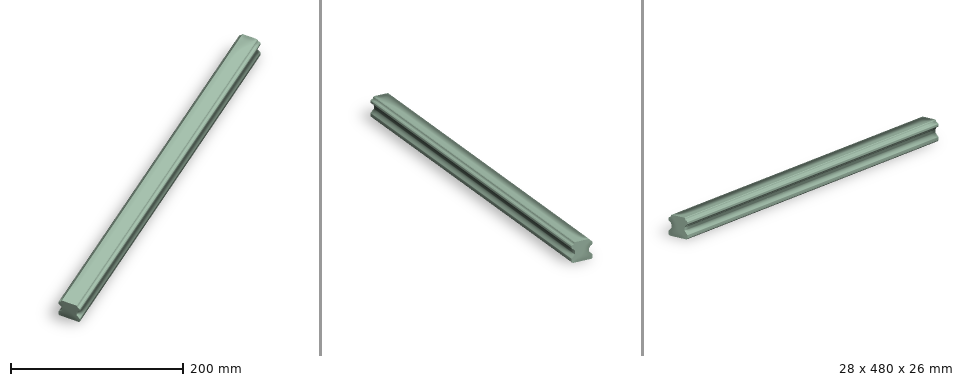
import cadquery as cq
import math

length = 480.0
width = 28.0
height = 26.0
half_width = width / 2

slope_size = 4.55
inner_half_width = half_width - slope_size

bottom_chamfer = 1.5
neck_bottom = 10.0
foot_side_top = neck_bottom - slope_size

head_side_bottom = 18.5
head_side_top = height - slope_size
neck_top = head_side_bottom - slope_size

corner_radius = 0.7

groove_radius = 3.05
groove_inset = 1.25
groove_span = 2.6
groove_half_chord = groove_span / math.sqrt(2)
groove_depth = groove_radius - math.sqrt(groove_radius**2 - groove_half_chord**2)


def groove_points(side_z, direction):
    """Outer edge, deepest point and inner edge of the groove in a 45 degree flank.

    The flank starts at the head side at height side_z; direction is +1 for the
    flank that rises from there and -1 for the one that falls.
    """
    outer = groove_inset
    inner = groove_inset + groove_span
    middle = (outer + inner) / 2
    inward = groove_depth / math.sqrt(2)
    return (
        (half_width - outer, side_z + direction * outer),
        (half_width - middle - inward, side_z + direction * (middle - inward)),
        (half_width - inner, side_z + direction * inner),
    )


lower_outer, lower_deepest, lower_inner = groove_points(head_side_bottom, -1)
upper_outer, upper_deepest, upper_inner = groove_points(head_side_top, 1)

section = (
    cq.Workplane("XZ")
    .moveTo(0, 0)
    .lineTo(half_width - bottom_chamfer, 0)
    .lineTo(half_width, bottom_chamfer)
    .lineTo(half_width, foot_side_top)
    .lineTo(inner_half_width, neck_bottom)
    .lineTo(inner_half_width, neck_top)
    .lineTo(*lower_inner)
    .threePointArc(lower_deepest, lower_outer)
    .lineTo(half_width, head_side_bottom)
    .lineTo(half_width, head_side_top)
    .lineTo(*upper_outer)
    .threePointArc(upper_deepest, upper_inner)
    .lineTo(inner_half_width, height)
    .lineTo(0, height)
    .mirrorY()
)

rail = section.extrude(length / 2, both=True)

rounded_corners = (
    (half_width, foot_side_top),
    (inner_half_width, neck_bottom),
    (inner_half_width, neck_top),
    (half_width, head_side_bottom),
    (half_width, head_side_top),
)


def long_edge_at(x, z):
    """Selector for the lengthwise edge of the rail that runs through (x, z)."""
    reach = 0.05
    return cq.selectors.BoxSelector((x - reach, -length, z - reach), (x + reach, length, z + reach))


for corner_x, corner_z in rounded_corners:
    for side in (-1, 1):
        corner_edge = rail.edges("|Y").edges(long_edge_at(side * corner_x, corner_z))
        rail = corner_edge.fillet(corner_radius)

result = rail